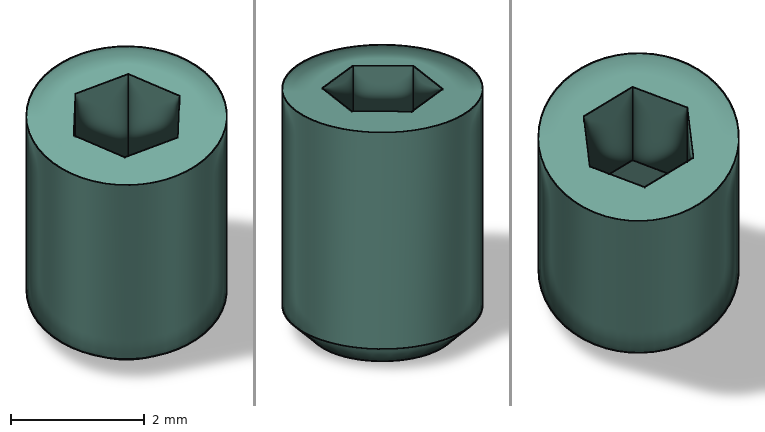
import cadquery as cq

length = 4.0
diameter = 3.0
tip_chamfer = 0.4

socket_across_corners = 1.8
socket_depth = length / 2

body = (
    cq.Workplane("XY")
    .circle(diameter / 2)
    .extrude(length)
    .faces("<Z")
    .chamfer(tip_chamfer)
)

socket = (
    cq.Workplane("XY")
    .workplane(offset=length - socket_depth)
    .polygon(6, socket_across_corners)
    .extrude(socket_depth)
)

result = body.cut(socket)